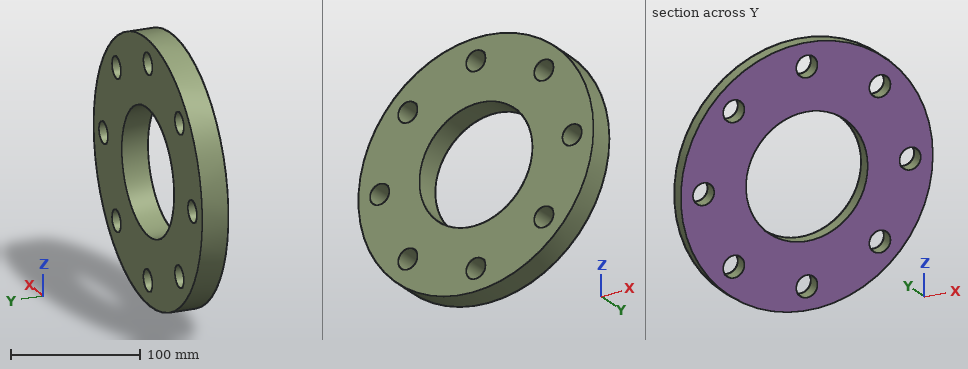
import cadquery as cq

outer_diameter = 220.0
thickness = 22.0
bore_diameter = 105.5

bolt_circle_diameter = 180.0
bolt_hole_diameter = 18.0
bolt_count = 8

ring = (
    cq.Workplane("XZ")
    .circle(outer_diameter / 2)
    .circle(bore_diameter / 2)
    .extrude(thickness)
)

bolt_holes = (
    cq.Workplane("XZ")
    .polarArray(bolt_circle_diameter / 2, 0, 360, bolt_count)
    .circle(bolt_hole_diameter / 2)
    .extrude(thickness)
)

result = ring.cut(bolt_holes)